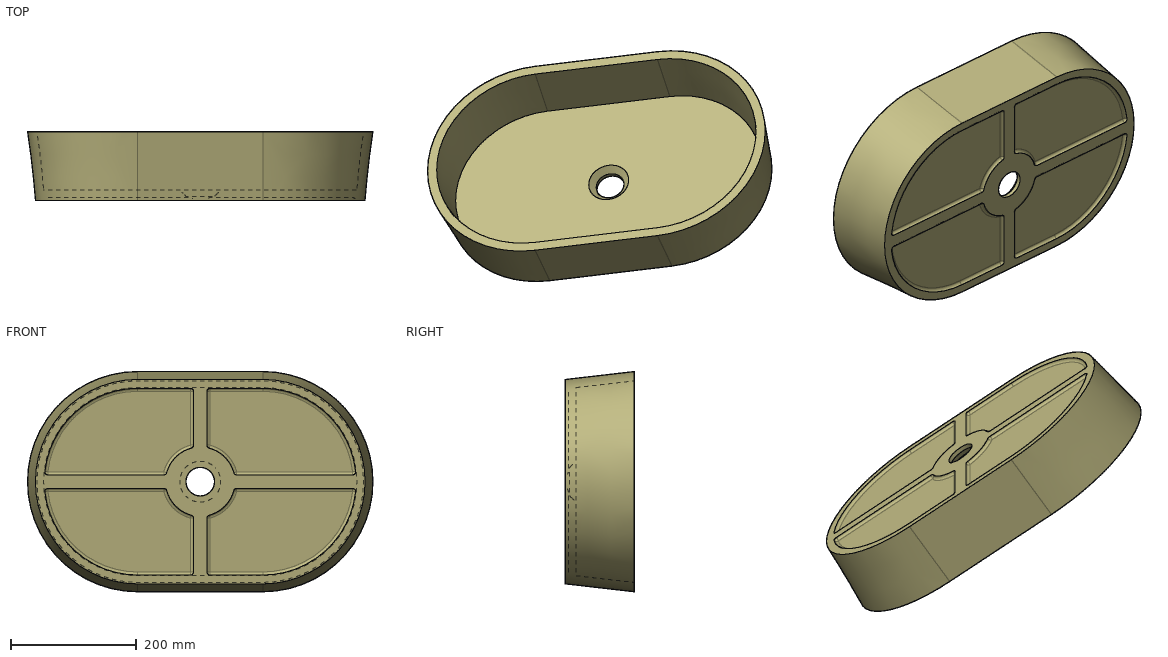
import cadquery as cq

DEPTH = 110.0
RIM_LENGTH = 549.54
RIM_HEIGHT = 350.54
FOOT_INSET = 12.65
STRAIGHT_LENGTH = RIM_LENGTH - RIM_HEIGHT
FOOT_HEIGHT = RIM_HEIGHT - 2 * FOOT_INSET

WALL_THICKNESS = 15.0
FLOOR_THICKNESS = 17.0

BORDER_WIDTH = 14.1
RIB_WIDTH = 21.6
HUB_DIAMETER = 110.4
RECESS_DEPTH = 5.0
RECESS_ROUNDING = 4.85

DRAIN_DIAMETER = 45.0
DRAIN_CHAMFER = 10.0


def oblong(height, y):
    """Oblong outline in the XZ plane at the given Y, with fixed straight sides."""
    return (
        cq.Workplane("XZ", origin=(0, y, 0))
        .slot2D(STRAIGHT_LENGTH + height, height)
    )


def tapered_oblong(start_height, start_y, end_height, end_y):
    """Solid between two oblong outlines that share the same straight length."""
    return (
        oblong(start_height, start_y)
        .workplane(offset=start_y - end_y)
        .slot2D(STRAIGHT_LENGTH + end_height, end_height)
        .loft(ruled=True)
    )


def make_bowl():
    """Hollow with walls that follow the taper of the body."""
    floor_inset = FOOT_INSET * (1 - FLOOR_THICKNESS / DEPTH)
    rim_opening = RIM_HEIGHT - 2 * WALL_THICKNESS
    floor_opening = rim_opening - 2 * floor_inset
    return tapered_oblong(floor_opening, FLOOR_THICKNESS, rim_opening, DEPTH)


def make_recess(x_side, z_side):
    """One quarter recess, with its upright corners and floor edge rounded alike."""
    pad_height = FOOT_HEIGHT - 2 * BORDER_WIDTH
    pad = oblong(pad_height, 0).extrude(-RECESS_DEPTH)
    hub = cq.Workplane("XZ").circle(HUB_DIAMETER / 2).extrude(-RECESS_DEPTH)
    quarter = (
        cq.Workplane("XZ")
        .center(x_side * (RIB_WIDTH + RIM_LENGTH) / 2, z_side * (RIB_WIDTH + RIM_HEIGHT) / 2)
        .rect(RIM_LENGTH, RIM_HEIGHT)
        .extrude(-RECESS_DEPTH)
    )
    recess = pad.intersect(quarter).cut(hub)
    return recess.edges("|Y").fillet(RECESS_ROUNDING).faces(">Y").edges().fillet(RECESS_ROUNDING)


def make_drain():
    """Drain hole through the floor, with a 45 degree countersink opening into the bowl."""
    radius = DRAIN_DIAMETER / 2
    cone_start = FLOOR_THICKNESS - DRAIN_CHAMFER
    rim_radius = radius + DRAIN_CHAMFER
    return (
        cq.Workplane("XY")
        .lineTo(radius, 0)
        .lineTo(radius, cone_start)
        .lineTo(rim_radius, FLOOR_THICKNESS)
        .lineTo(0, FLOOR_THICKNESS)
        .close()
        .revolve(360, (0, 0, 0), (0, 1, 0))
    )


body = tapered_oblong(FOOT_HEIGHT, 0, RIM_HEIGHT, DEPTH).cut(make_bowl())
for x_side in (-1, 1):
    for z_side in (-1, 1):
        body = body.cut(make_recess(x_side, z_side))

result = body.cut(make_drain())